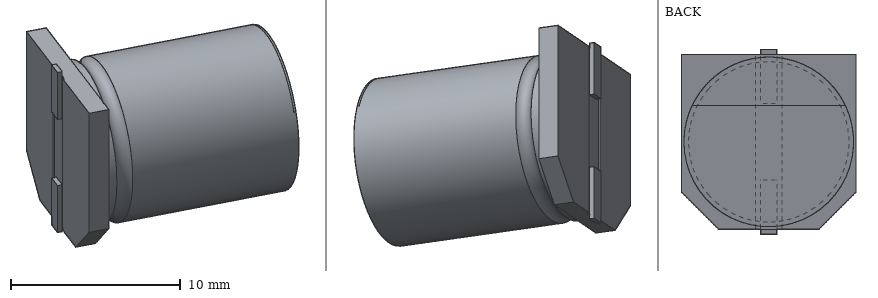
import cadquery as cq

total_length = 13.5

base_side = 10.3
base_thickness = 1.24
base_standoff = 0.2
corner_chamfer = 2.2
channel_width = 1.55
channel_depth = 0.1
base_top = base_standoff + base_thickness

lead_span = 10.9
lead_length = 3.2
lead_width = 0.96
lead_thickness = base_standoff + channel_depth

can_radius = 5.0
groove_start = 2.01
groove_width = 1.0
groove_depth = 0.27
groove_end = groove_start + groove_width
groove_middle = groove_start + groove_width / 2

mark_thickness = 0.14
mark_chord_height = 2.15
mark_start = total_length - mark_thickness


def make_base():
    """Square plate with two lower corners cut off and a channel for the leads."""
    plate = (
        cq.Workplane("XY")
        .box(base_side, base_thickness, base_side, centered=(True, False, True))
        .translate((0, base_standoff, 0))
        .edges("|Y and <Z")
        .chamfer(corner_chamfer)
    )
    channel = (
        cq.Workplane("XY")
        .box(channel_width, channel_depth, base_side, centered=(True, False, True))
        .translate((0, base_standoff, 0))
    )
    return plate.cut(channel).solids()


def make_lead(side):
    """Flat lead in the channel; side is +1 for the upper lead and -1 for the lower."""
    center_z = side * (lead_span - lead_length) / 2
    return (
        cq.Workplane("XY")
        .box(lead_width, lead_thickness, lead_length, centered=(True, False, True))
        .translate((0, 0, center_z))
    )


def make_mark():
    """Thin disc segment above the chord, flush with the can end."""
    disc = (
        cq.Workplane("XZ", origin=(0, mark_start, 0))
        .circle(can_radius)
        .extrude(-mark_thickness)
    )
    above_chord = (
        cq.Workplane("XY")
        .box(2 * can_radius, mark_thickness, can_radius, centered=(True, False, False))
        .translate((0, mark_start, mark_chord_height))
    )
    return disc.intersect(above_chord).solids()


def make_can(mark):
    """Cylinder with a rounded crimp groove and a recess that fits the mark."""
    body = (
        cq.Workplane("XY")
        .moveTo(0, base_top)
        .lineTo(can_radius, base_top)
        .lineTo(can_radius, groove_start)
        .threePointArc((can_radius - groove_depth, groove_middle), (can_radius, groove_end))
        .lineTo(can_radius, total_length)
        .lineTo(0, total_length)
        .close()
        .revolve(360, (0, 0, 0), (0, 1, 0))
    )
    return body.cut(mark).solids()


base = make_base()
leads = [make_lead(side) for side in (1, -1)]
mark = make_mark()
can = make_can(mark)

result = cq.Compound.makeCompound(
    [base.val(), can.val(), mark.val(), *[lead.val() for lead in leads]]
)